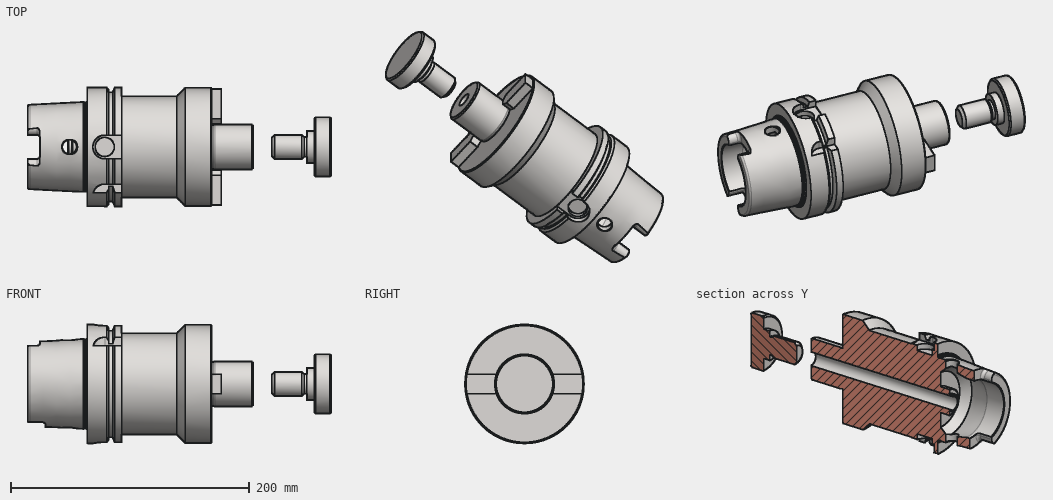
import cadquery as cq
HOLDER_LENGTH = 189.2
SCREW_LENGTH = 50.2
OVERALL_LENGTH = 255.0

TAPER_LENGTH = 50.0
TAPER_TIP_RADIUS = 35.5
TAPER_ROOT_RADIUS = 38.0
TIP_FILLET = 1.8
RELIEF_LENGTH = 3.0
RELIEF_DEPTH = 0.38
RELIEF_BEVEL_LENGTH = 1.15
RELIEF_FACE_RADIUS = 39.8

MOUTH_RADIUS = 26.5
MOUTH_DEPTH = 19.0
MOUTH_CHAMFER = 0.5
CAVITY_RADIUS = 31.4
CAVITY_DEPTH = 47.2
CAVITY_FLOOR_RADIUS = 24.7
CAVITY_FLOOR_BEVEL = 7.6
NIPPLE_RADIUS = 12.0
NIPPLE_START = 37.2
NIPPLE_TIP_RADIUS = 8.0
NIPPLE_TIP_START = 34.0
NIPPLE_CHAMFER = 0.5
COOLANT_BORE_DIAMETER = 12.0

DRIVE_SLOT_WIDTH = 20.0
DRIVE_SLOT_SHELF = 32.1
DRIVE_SLOT_LIP_RADIUS = 5.5
DRIVE_SLOT_DEPTH_TOP = 10.5
DRIVE_SLOT_DEPTH_BOTTOM = 15.0
DRIVE_SLOT_FLOOR_FILLET = 2.5

CLAMP_HOLE_DIAMETER = 12.0
CLAMP_HOLE_X = 35.2
CLAMP_HOLE_MOUTH = 36.5
CLAMP_HOLE_SINK_DIAMETER = 13.5

FLANGE_RADIUS = 50.0
FLANGE_END = 79.0
GROOVE_RADIUS = 46.0
GROOVE_START = 66.3
GROOVE_END = 73.2
GROOVE_BEVEL = 1.8
GROOVE_BEVEL_DEPTH = 2.0

KEYWAY_WIDTH = 20.0
KEYWAY_X = 64.8
KEYWAY_FLOOR = 42.8
POCKET_DIAMETER = 16.0
POCKET_DEPTH = 4.8
NOTCH_WALL_Y = -31.0
NOTCH_FLOOR_Z = 32.1

BODY_RADIUS = 42.5
BODY_END = 125.2
HEAD_RADIUS = 49.7
HEAD_START = 132.3
HEAD_END = 154.5
HEAD_CHAMFER = 0.8
PILOT_RADIUS = 19.0
PILOT_CHAMFER = 1.3
PILOT_NECK_LENGTH = 2.5
PILOT_NECK_RADIUS = 18.5
PILOT_NECK_BEVEL = 1.3

KEY_WIDTH = 16.0
KEY_HEIGHT = 8.2
KEY_OUTER = 48.7
KEY_INNER = 19.0
KEY_BEVEL = 4.5

SCREW_TIP_RADIUS = 7.6
THREAD_RADIUS = 10.2
THREAD_START = 2.5
THREAD_END = 25.2
SCREW_NECK_RADIUS = 8.5
SCREW_NECK_START = 27.3
COLLAR_RADIUS = 13.5
COLLAR_START = 29.5
SCREW_HEAD_RADIUS = 25.0
SCREW_HEAD_START = 35.7
SCREW_HEAD_CHAMFER = 1.3


def revolve_about_x(points):
    """Revolve a closed (x, radius) outline about the X axis."""
    return cq.Workplane("XY").polyline(points).close().revolve(360, (0, 0, 0), (1, 0, 0))


def holder_blank():
    relief_start = TAPER_LENGTH - RELIEF_LENGTH
    taper_slope = (TAPER_ROOT_RADIUS - TAPER_TIP_RADIUS) / TAPER_LENGTH
    relief_edge_radius = TAPER_TIP_RADIUS + taper_slope * relief_start
    relief_floor_radius = relief_edge_radius - RELIEF_DEPTH
    pilot_start = HEAD_END + PILOT_NECK_LENGTH
    blank = revolve_about_x([
        (0, 0),
        (0, TAPER_TIP_RADIUS),
        (relief_start, relief_edge_radius),
        (relief_start + RELIEF_BEVEL_LENGTH, relief_floor_radius),
        (relief_start + 2 * RELIEF_BEVEL_LENGTH, relief_floor_radius),
        (TAPER_LENGTH + RELIEF_DEPTH, relief_edge_radius + RELIEF_DEPTH),
        (TAPER_LENGTH + RELIEF_DEPTH, RELIEF_FACE_RADIUS - RELIEF_BEVEL_LENGTH),
        (TAPER_LENGTH, RELIEF_FACE_RADIUS),
        (TAPER_LENGTH, FLANGE_RADIUS),
        (GROOVE_START, FLANGE_RADIUS),
        (GROOVE_START + GROOVE_BEVEL, FLANGE_RADIUS - GROOVE_BEVEL_DEPTH),
        (GROOVE_START + GROOVE_BEVEL, GROOVE_RADIUS),
        (GROOVE_END - GROOVE_BEVEL, GROOVE_RADIUS),
        (GROOVE_END, FLANGE_RADIUS),
        (FLANGE_END, FLANGE_RADIUS),
        (FLANGE_END, BODY_RADIUS),
        (BODY_END, BODY_RADIUS),
        (HEAD_START, HEAD_RADIUS),
        (HEAD_END - HEAD_CHAMFER, HEAD_RADIUS),
        (HEAD_END, HEAD_RADIUS - HEAD_CHAMFER),
        (HEAD_END, PILOT_NECK_RADIUS),
        (pilot_start - PILOT_NECK_BEVEL, PILOT_NECK_RADIUS),
        (pilot_start, PILOT_RADIUS),
        (HOLDER_LENGTH - PILOT_CHAMFER, PILOT_RADIUS),
        (HOLDER_LENGTH, PILOT_RADIUS - PILOT_CHAMFER),
        (HOLDER_LENGTH, 0),
    ])
    return blank.faces("<X").edges().fillet(TIP_FILLET)


def shank_cavity():
    """Mouth that opens through the clamping cone into a wider chamber around the nipple."""
    return revolve_about_x([
        (0, 0),
        (0, MOUTH_RADIUS + MOUTH_CHAMFER),
        (MOUTH_CHAMFER, MOUTH_RADIUS),
        (MOUTH_DEPTH, MOUTH_RADIUS),
        (CAVITY_DEPTH - CAVITY_FLOOR_BEVEL, CAVITY_RADIUS),
        (CAVITY_DEPTH, CAVITY_FLOOR_RADIUS),
        (CAVITY_DEPTH, NIPPLE_RADIUS),
        (NIPPLE_START + NIPPLE_CHAMFER, NIPPLE_RADIUS),
        (NIPPLE_START, NIPPLE_RADIUS - NIPPLE_CHAMFER),
        (NIPPLE_START, NIPPLE_TIP_RADIUS),
        (NIPPLE_TIP_START + NIPPLE_CHAMFER, NIPPLE_TIP_RADIUS),
        (NIPPLE_TIP_START, NIPPLE_TIP_RADIUS - NIPPLE_CHAMFER),
        (NIPPLE_TIP_START, 0),
    ])


def coolant_bore():
    """Passage along the axis from the nipple to the pilot end."""
    return (
        cq.Workplane("YZ", origin=(NIPPLE_TIP_START, 0, 0))
        .circle(COOLANT_BORE_DIAMETER / 2)
        .extrude(HOLDER_LENGTH - NIPPLE_TIP_START)
    )


def drive_slot(depth):
    """Cutter for the slot on the +Z side: straight walls that round out onto a wide shelf."""
    half_width = DRIVE_SLOT_WIDTH / 2
    lip = DRIVE_SLOT_LIP_RADIUS
    wall_top = DRIVE_SLOT_SHELF - lip
    lip_offset = lip * (1 - 0.5 ** 0.5)
    lip_mid_y = half_width + lip_offset
    lip_mid_z = DRIVE_SLOT_SHELF - lip_offset
    shelf_edge = half_width + lip
    outer_edge = TAPER_TIP_RADIUS
    top = FLANGE_RADIUS
    cutter = (
        cq.Workplane("YZ")
        .moveTo(-half_width, 0)
        .lineTo(half_width, 0)
        .lineTo(half_width, wall_top)
        .threePointArc((lip_mid_y, lip_mid_z), (shelf_edge, DRIVE_SLOT_SHELF))
        .lineTo(outer_edge, DRIVE_SLOT_SHELF)
        .lineTo(outer_edge, top)
        .lineTo(-outer_edge, top)
        .lineTo(-outer_edge, DRIVE_SLOT_SHELF)
        .lineTo(-shelf_edge, DRIVE_SLOT_SHELF)
        .threePointArc((-lip_mid_y, lip_mid_z), (-half_width, wall_top))
        .close()
        .extrude(depth)
    )
    return cutter.faces(">X").edges().fillet(DRIVE_SLOT_FLOOR_FILLET)


def clamp_hole():
    """Radial hole on the +Z side of the shank, opening into the cavity, with a countersunk mouth."""
    hole_radius = CLAMP_HOLE_DIAMETER / 2
    sink_radius = CLAMP_HOLE_SINK_DIAMETER / 2
    sink_top = CLAMP_HOLE_MOUTH + sink_radius - hole_radius
    outline = [
        (0, MOUTH_RADIUS),
        (hole_radius, MOUTH_RADIUS),
        (hole_radius, CLAMP_HOLE_MOUTH),
        (sink_radius, sink_top),
        (sink_radius, FLANGE_RADIUS),
        (0, FLANGE_RADIUS),
    ]
    return (
        cq.Workplane("XZ", origin=(CLAMP_HOLE_X, 0, 0))
        .polyline(outline)
        .close()
        .revolve(360, (0, 0, 0), (0, 1, 0))
    )


def round_ended_slot(centre_y, floor_z):
    """Cutter open towards +X and +Z, with its rounded end at KEYWAY_X."""
    height = FLANGE_RADIUS - floor_z
    length = FLANGE_END - KEYWAY_X
    plane = cq.Workplane("XY", origin=(KEYWAY_X, centre_y, floor_z))
    rounded_end = plane.circle(KEYWAY_WIDTH / 2).extrude(height)
    straight = plane.center(length / 2, 0).rect(length, KEYWAY_WIDTH).extrude(height)
    return rounded_end.union(straight)


def keyway():
    """Keyway on the +Z side with a round pocket sunk in its floor."""
    pocket = (
        cq.Workplane("XY", origin=(KEYWAY_X, 0, KEYWAY_FLOOR - POCKET_DEPTH))
        .circle(POCKET_DIAMETER / 2)
        .extrude(POCKET_DEPTH)
    )
    return round_ended_slot(0, KEYWAY_FLOOR).union(pocket)


def orientation_notch():
    return round_ended_slot(NOTCH_WALL_Y - KEYWAY_WIDTH / 2, NOTCH_FLOOR_Z)


def driving_key():
    """Key on the +Y side, with both corners of its inner end bevelled."""
    length = KEY_OUTER - KEY_INNER
    bar = (
        cq.Workplane("YZ", origin=(HEAD_END, 0, 0))
        .center(KEY_INNER + length / 2, 0)
        .rect(length, KEY_WIDTH)
        .extrude(KEY_HEIGHT)
    )
    return bar.edges("|X and <Y").chamfer(KEY_BEVEL)


def turned_half_way(shape):
    return shape.rotate((0, 0, 0), (1, 0, 0), 180)


def make_holder():
    holder = holder_blank()
    for key in (driving_key(), turned_half_way(driving_key())):
        holder = holder.union(key)

    cutters = [
        shank_cavity(),
        coolant_bore(),
        drive_slot(DRIVE_SLOT_DEPTH_TOP),
        turned_half_way(drive_slot(DRIVE_SLOT_DEPTH_BOTTOM)),
        clamp_hole(),
        turned_half_way(clamp_hole()),
        keyway(),
        turned_half_way(keyway()),
        orientation_notch(),
    ]
    for cutter in cutters:
        holder = holder.cut(cutter)
    return holder


def make_screw():
    screw = revolve_about_x([
        (0, 0),
        (0, SCREW_TIP_RADIUS),
        (THREAD_START, THREAD_RADIUS),
        (THREAD_END, THREAD_RADIUS),
        (SCREW_NECK_START, SCREW_NECK_RADIUS),
        (COLLAR_START, SCREW_NECK_RADIUS),
        (COLLAR_START, COLLAR_RADIUS),
        (SCREW_HEAD_START, COLLAR_RADIUS),
        (SCREW_HEAD_START, SCREW_HEAD_RADIUS - SCREW_HEAD_CHAMFER),
        (SCREW_HEAD_START + SCREW_HEAD_CHAMFER, SCREW_HEAD_RADIUS),
        (SCREW_LENGTH - SCREW_HEAD_CHAMFER, SCREW_HEAD_RADIUS),
        (SCREW_LENGTH, SCREW_HEAD_RADIUS - SCREW_HEAD_CHAMFER),
        (SCREW_LENGTH, 0),
    ])
    return screw.translate((OVERALL_LENGTH - SCREW_LENGTH, 0, 0))


holder = make_holder()
screw = make_screw()

result = cq.Compound.makeCompound([holder.val(), screw.val()])